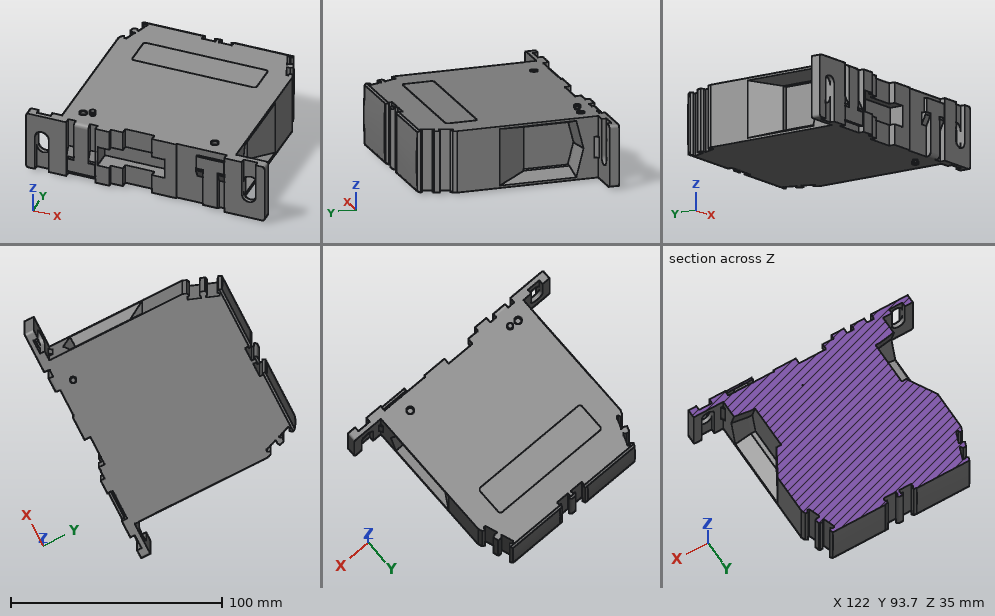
import cadquery as cq

BODY_HALF_WIDTH = 44.5
BODY_HALF_Z = 15.35
WALL_TOP_Y = 75.5

BEAD_TOP_Y = 78.2
BEAD_BEVEL_Y = 0.6
BEAD_OUTER_X = 43.7
BEAD_INNER_X = 42.4
BEAD_FOOT_X = 41.9

SHOULDER_FOOT_X = 40.9
SHOULDER_FOOT_Y = 76.7
SHOULDER_HEAD_X = 35.7
SHOULDER_HEAD_Y = 91.0

HOOK_LOW_Y = 82.7
HOOK_UNDERSIDE_X = 40.4
HOOK_TIP_X = 41.7
HOOK_TIP_Y = 83.4
HOOK_SHOULDER_X = 41.0
HOOK_TOP_Y = 86.1
HOOK_BEVEL = 0.4
HOOK_TOP_INNER_X = 39.1
HOOK_ROOT_X = 38.2
HOOK_ROOT_Y = 84.9

FLANGE_HALF_WIDTH = 61.0
FLANGE_Y = 4.85
FLANGE_CORNER_R = 1.35
GUSSET_X = 1.3
GUSSET_Y = 1.9
GUSSET_HALF_Z = 5.2

SLOT_X = 52.9
SLOT_WIDTH = 7.0
SLOT_LENGTH = 12.9
SLOT_CHANNEL_DEPTH = FLANGE_Y / 2

SEAT_LEFT_X = -18.4
RAIL_LEFT_X = -12.3
RAIL_RIGHT_X = 2.5
SEAT_RIGHT_X = 15.0
SEAT_DEPTH = 2.15
RAIL_DEPTH = 5.25
POCKET_LEFT_X = -24.4
POCKET_RIGHT_X = 9.0
POCKET_HALF_Z = 5.2
POCKET_DEPTH = 9.3

LATCH_X = 33.0
LATCH_RECESS_WIDTH = 14.9
LATCH_RECESS_DEPTH = 2.85
LATCH_FACE_Y = 0.3
LATCH_HEAD_WIDTH = 14.2
LATCH_HEAD_BACK_Y = 1.6
LATCH_HEAD_LOW_Z = 5.5
LATCH_HEAD_HIGH_Z = 12.5
LATCH_STEM_WIDTH = 7.4
LATCH_STEM_END_R = 2.0
LATCH_STEM_HIGH_Z = 9.0
WEDGE_FACE_Y = 0.6
WEDGE_FLAT_Z = 4.3
WEDGE_TOE_Z = -0.3

LID_BEVEL_Y = 92.1
LID_EDGE_Y = 93.3
LID_TOP_Y = 93.74
LID_BEVEL_Z = 0.6
LID_INNER_X = 8.65
LID_OUTER_X = 38.0

LIP_INNER_X = 36.7
LIP_INNER_Y = 91.4
LIP_BARB_X = 37.6
LIP_BARB_Y = 90.6
LIP_TIP_X = 38.7
LIP_TIP_Y = 91.7
LIP_FACET_X = 38.4
LIP_FACET_Y = 92.6

GROOVE_HALF_X = 7.65
GROOVE_FLOOR_Y = 90.1
GROOVE_LIP_X = 6.7
GROOVE_LIP_Y = 91.8
GROOVE_LIP_BEVEL = 0.5
RIB_HALF_X = 0.9
RIB_HEAD_HALF_X = 1.9
RIB_ARC_MID_X = 1.6
RIB_ARC_MID_Y = 92.9

GRIP_TOP_Y = 54.1
GRIP_CORNER_Y = 15.8
GRIP_POINT_Y = 12.15
GRIP_HALF_Z = 14.1
GRIP_FLOOR_TOP_Y = 39.3
GRIP_FLOOR_CORNER_Y = 16.3
GRIP_FLOOR_HALF_Z = 10.9
GRIP_DEPTH = 8.4
GRIP_FLOOR_STEP = 2.5

LABEL_WIDTH = 63.6
LABEL_LOW_Y = 60.9
LABEL_HIGH_Y = 76.7
LABEL_R = 1.4
LABEL_DEPTH = 0.1

PIN_X = 31.2
PIN_Y = 10.7
PIN_TOP_Z = 17.5
PIN_HEAD_R = 1.55
PIN_CHAMFER = 0.3
PIN_HEAD_HEIGHT = 1.35
PIN_NECK_R = 1.25
SOCKET_XS = (-36.1, PIN_X)
SOCKET_R = 1.6
SOCKET_MOUTH_R = 1.9
SOCKET_MOUTH_DEPTH = 0.4
SOCKET_DEPTH = 2.0


def box(x0, x1, y0, y1, z0, z1):
    """Box between two opposite corners."""
    return cq.Workplane("XY").box(x1 - x0, y1 - y0, z1 - z0, centered=False).translate((x0, y0, z0))


def half_turn(shape):
    """Copy of the shape turned half a turn about the Y axis."""
    return shape.rotate((0, 0, 0), (0, 1, 0), 180)


def mirrored_pair(shape):
    """The shape and its mirror image on the other X side."""
    return shape.union(shape.mirror("YZ"))


def shoulder_x(y):
    """X of the tapered shoulder at height y."""
    taper = (SHOULDER_FOOT_X - SHOULDER_HEAD_X) / (SHOULDER_HEAD_Y - SHOULDER_FOOT_Y)
    return SHOULDER_FOOT_X - (y - SHOULDER_FOOT_Y) * taper


def half_body():
    """+X half of the housing: side wall, tapered shoulder with a snap hook, lid lip and central groove."""
    outline = (
        cq.Workplane("XY")
        .moveTo(0, 0)
        .lineTo(BODY_HALF_WIDTH, 0)
        .lineTo(BODY_HALF_WIDTH, WALL_TOP_Y)
        .lineTo(BEAD_OUTER_X, BEAD_TOP_Y - BEAD_BEVEL_Y)
        .lineTo(BEAD_INNER_X, BEAD_TOP_Y)
        .lineTo(BEAD_FOOT_X, SHOULDER_FOOT_Y)
        .lineTo(SHOULDER_FOOT_X, SHOULDER_FOOT_Y)
        .lineTo(shoulder_x(HOOK_LOW_Y), HOOK_LOW_Y)
        .lineTo(HOOK_UNDERSIDE_X, HOOK_LOW_Y)
        .lineTo(HOOK_TIP_X, HOOK_TIP_Y)
        .lineTo(HOOK_SHOULDER_X, HOOK_TOP_Y - HOOK_BEVEL)
        .lineTo(HOOK_SHOULDER_X - HOOK_BEVEL, HOOK_TOP_Y)
        .lineTo(HOOK_TOP_INNER_X, HOOK_TOP_Y)
        .lineTo(HOOK_ROOT_X, HOOK_ROOT_Y)
        .lineTo(shoulder_x(HOOK_ROOT_Y), HOOK_ROOT_Y)
        .lineTo(SHOULDER_HEAD_X, SHOULDER_HEAD_Y)
        .lineTo(LIP_INNER_X, LIP_INNER_Y)
        .lineTo(LIP_BARB_X, LIP_BARB_Y)
        .lineTo(LIP_TIP_X, LIP_TIP_Y)
        .lineTo(LIP_FACET_X, LIP_FACET_Y)
        .lineTo(LID_OUTER_X, LID_EDGE_Y)
        .lineTo(GROOVE_LIP_X + GROOVE_LIP_BEVEL, LID_EDGE_Y)
        .lineTo(GROOVE_LIP_X, GROOVE_LIP_Y)
        .lineTo(GROOVE_HALF_X, GROOVE_LIP_Y)
        .lineTo(GROOVE_HALF_X, GROOVE_FLOOR_Y)
        .lineTo(RIB_HALF_X, GROOVE_FLOOR_Y)
        .lineTo(RIB_HALF_X, GROOVE_LIP_Y)
        .lineTo(RIB_HEAD_HALF_X, GROOVE_LIP_Y)
        .threePointArc((RIB_ARC_MID_X, RIB_ARC_MID_Y), (RIB_HALF_X, LID_EDGE_Y))
        .lineTo(0, LID_EDGE_Y)
        .close()
    )
    return outline.extrude(BODY_HALF_Z, both=True)


def lid_domes():
    """Slightly domed lid panel on each side of the central groove."""
    edge_z = BODY_HALF_Z - LID_BEVEL_Z
    dome = (
        cq.Workplane("YZ", origin=(LID_INNER_X, 0, 0))
        .moveTo(LID_BEVEL_Y, -edge_z)
        .lineTo(LID_EDGE_Y, -edge_z)
        .threePointArc((LID_TOP_Y, 0), (LID_EDGE_Y, edge_z))
        .lineTo(LID_BEVEL_Y, edge_z)
        .close()
        .extrude(LID_OUTER_X - LID_INNER_X)
    )
    return mirrored_pair(dome)


def lid_bevels():
    """Wedges that bevel the lid along both Z faces."""
    bevel = (
        cq.Workplane("YZ", origin=(-BODY_HALF_WIDTH, 0, 0))
        .moveTo(LID_BEVEL_Y, BODY_HALF_Z)
        .lineTo(LID_EDGE_Y, BODY_HALF_Z - LID_BEVEL_Z)
        .lineTo(LID_EDGE_Y, BODY_HALF_Z)
        .close()
        .extrude(2 * BODY_HALF_WIDTH)
    )
    return bevel.union(bevel.mirror("XY"))


def flange():
    """Mounting flange with rounded corners and a small gusset at each side wall."""
    plate = box(-FLANGE_HALF_WIDTH, FLANGE_HALF_WIDTH, 0, FLANGE_Y, -BODY_HALF_Z, BODY_HALF_Z)
    plate = plate.edges("|Y").fillet(FLANGE_CORNER_R)
    gusset = (
        cq.Workplane("XY")
        .moveTo(BODY_HALF_WIDTH, FLANGE_Y)
        .lineTo(BODY_HALF_WIDTH + GUSSET_X, FLANGE_Y)
        .lineTo(BODY_HALF_WIDTH, FLANGE_Y + GUSSET_Y)
        .close()
        .extrude(GUSSET_HALF_Z, both=True)
    )
    return plate.union(mirrored_pair(gusset))


def flange_slot():
    """Right slot: open towards +Z on the mounting side and towards -Z on the back."""
    slot = (
        cq.Workplane("XZ", origin=(SLOT_X, 0, 0))
        .slot2D(SLOT_LENGTH, SLOT_WIDTH, 90)
        .extrude(-FLANGE_Y)
    )
    left = SLOT_X - SLOT_WIDTH / 2
    right = SLOT_X + SLOT_WIDTH / 2
    front_channel = box(left, right, 0, SLOT_CHANNEL_DEPTH, 0, BODY_HALF_Z)
    back_channel = box(left, right, SLOT_CHANNEL_DEPTH, FLANGE_Y, -BODY_HALF_Z, 0)
    return slot.union(front_channel).union(back_channel)


def rail_seat():
    """Stepped rail seat across the mounting face and the blind pocket at its middle."""
    z0, z1 = -BODY_HALF_Z, BODY_HALF_Z
    seat = box(SEAT_LEFT_X, SEAT_RIGHT_X, 0, SEAT_DEPTH, z0, z1)
    rail = box(RAIL_LEFT_X, RAIL_RIGHT_X, 0, RAIL_DEPTH, z0, z1)
    approach_end = LATCH_X - LATCH_RECESS_WIDTH / 2
    approach = box(SEAT_RIGHT_X, approach_end, 0, LATCH_RECESS_DEPTH, z0, z1)
    pocket = box(POCKET_LEFT_X, POCKET_RIGHT_X, 0, POCKET_DEPTH, -POCKET_HALF_Z, POCKET_HALF_Z)
    return seat.union(rail).union(approach).union(pocket)


def latch_recess():
    """Recess across the full thickness that holds the right latch."""
    half = LATCH_RECESS_WIDTH / 2
    return box(LATCH_X - half, LATCH_X + half, 0, LATCH_RECESS_DEPTH, -BODY_HALF_Z, BODY_HALF_Z)


def latch():
    """Right latch: T-shaped slider with two ramped stops beside its stem."""
    half_head = LATCH_HEAD_WIDTH / 2
    half_stem = LATCH_STEM_WIDTH / 2
    half_recess = LATCH_RECESS_WIDTH / 2
    head = box(LATCH_X - half_head, LATCH_X + half_head, LATCH_FACE_Y, LATCH_HEAD_BACK_Y,
               LATCH_HEAD_LOW_Z, LATCH_HEAD_HIGH_Z)
    stem = box(LATCH_X - half_stem, LATCH_X + half_stem, LATCH_FACE_Y, LATCH_RECESS_DEPTH,
               -BODY_HALF_Z, LATCH_STEM_HIGH_Z)
    stem = stem.edges("<Z and <Y").fillet(LATCH_STEM_END_R)
    stops = (
        cq.Workplane("YZ", origin=(LATCH_X - half_recess, 0, 0))
        .moveTo(LATCH_RECESS_DEPTH, WEDGE_TOE_Z)
        .lineTo(WEDGE_FACE_Y, WEDGE_FLAT_Z)
        .lineTo(WEDGE_FACE_Y, LATCH_HEAD_LOW_Z)
        .lineTo(LATCH_RECESS_DEPTH, LATCH_HEAD_LOW_Z)
        .close()
        .extrude(LATCH_RECESS_WIDTH)
    )
    return head.union(stem).union(stops)


def pentagon_points(top_y, corner_y, point_y, half_z):
    """Corners in (Y, Z) of a house-shaped pentagon whose point faces -Y."""
    return [(top_y, half_z), (corner_y, half_z), (point_y, 0), (corner_y, -half_z), (top_y, -half_z)]


def grip_pockets():
    """Tapered five-sided finger pocket in each X side, ending in a straight-walled deeper floor."""
    point_slope = (GRIP_CORNER_Y - GRIP_POINT_Y) / GRIP_HALF_Z
    floor_point_y = GRIP_FLOOR_CORNER_Y - point_slope * GRIP_FLOOR_HALF_Z
    floor_x = BODY_HALF_WIDTH - GRIP_DEPTH

    opening_points = pentagon_points(GRIP_TOP_Y, GRIP_CORNER_Y, GRIP_POINT_Y, GRIP_HALF_Z)
    floor_points = pentagon_points(GRIP_FLOOR_TOP_Y, GRIP_FLOOR_CORNER_Y, floor_point_y, GRIP_FLOOR_HALF_Z)
    taper = (
        cq.Workplane("YZ", origin=(BODY_HALF_WIDTH, 0, 0))
        .polyline(opening_points)
        .close()
        .workplane(offset=-GRIP_DEPTH)
        .polyline(floor_points)
        .close()
        .loft(ruled=True)
    )
    floor = cq.Workplane("YZ", origin=(floor_x, 0, 0)).polyline(floor_points).close()
    return mirrored_pair(taper.union(floor.extrude(-GRIP_FLOOR_STEP)))


def label_recess():
    """Shallow rounded rectangle for a label on the +Z face."""
    half = LABEL_WIDTH / 2
    recess = box(-half, half, LABEL_LOW_Y, LABEL_HIGH_Y, BODY_HALF_Z - LABEL_DEPTH, BODY_HALF_Z)
    return recess.edges("|Z").fillet(LABEL_R)


def stacking_pin():
    """Headed stacking pin on the +Z face."""
    neck = cq.Workplane("XY", origin=(-PIN_X, PIN_Y, BODY_HALF_Z)).circle(PIN_NECK_R)
    neck = neck.extrude(PIN_TOP_Z - PIN_HEAD_HEIGHT - BODY_HALF_Z)
    head = cq.Workplane("XY", origin=(-PIN_X, PIN_Y, PIN_TOP_Z)).circle(PIN_HEAD_R)
    head = head.extrude(-PIN_HEAD_HEIGHT).faces(">Z").chamfer(PIN_CHAMFER)
    return neck.union(head)


def sockets():
    """Stepped sockets in the +Z face that take the pins of a neighbouring housing."""
    face = cq.Workplane("XY", origin=(0, PIN_Y, BODY_HALF_Z)).pushPoints([(x, 0) for x in SOCKET_XS])
    mouths = face.circle(SOCKET_MOUTH_R).extrude(-SOCKET_MOUTH_DEPTH)
    bores = face.circle(SOCKET_R).extrude(-SOCKET_DEPTH)
    return mouths.union(bores)


housing = mirrored_pair(half_body()).cut(lid_bevels()).union(lid_domes()).union(flange())
housing = housing.cut(rail_seat())
for cutter in (flange_slot(), latch_recess()):
    housing = housing.cut(cutter).cut(half_turn(cutter))
for added in (latch(), stacking_pin()):
    housing = housing.union(added).union(half_turn(added))
result = housing.cut(grip_pockets()).cut(label_recess()).cut(sockets())